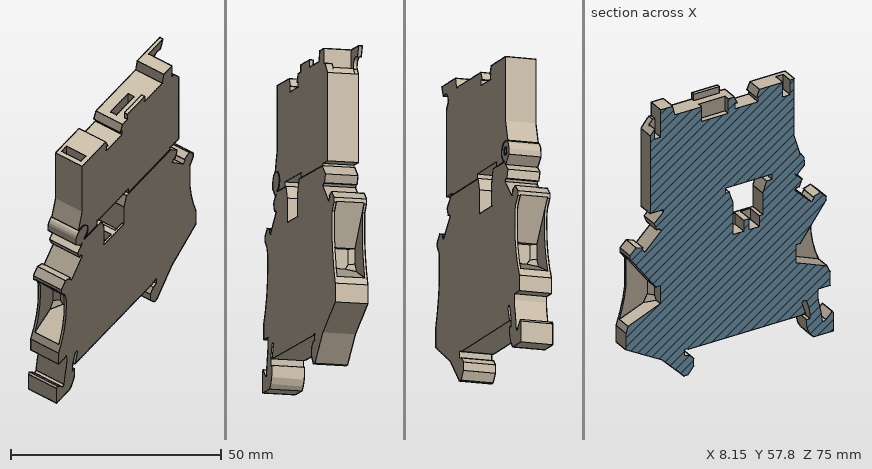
import cadquery as cq


base_width = 8.15
lever_width = 7.75
total_height = 74.98
base_half_length = 28.45
foot_tip_y = -29.35

rail_z = 6.95
base_top_z = 46.75
lever_bottom_z = 47.3
lever_top_z = 72.45

side_z = (12.0, 16.55)
latch_side_bottom_z = 12.75
waist_y = 26.0
waist_z = (27.0, 34.4)
bow_y = 27.0
bow_z = 21.4
latch_waist_y = 25.3
latch_waist_z = (29.1, 31.3)
latch_bow_y = 26.05
latch_bow_z = 22.9
shoulder_y = 18.0

window_y = (-9.6, -1.38)
window_floor_z = 37.85
window_throat_z = 43.7
window_flare = 1.05
floor_pockets_y = ((-8.6, -5.9), (-4.3, -1.38))
floor_pocket_width = 7.05
floor_pocket_depth = 3.0

funnel_width = 6.9
funnel_overshoot = 1.0
funnel_depth_y = 18.9
funnel_roof_z = (36.55, 26.7)
funnel_floor_z = (18.3, 21.9)
funnel_mouth_y = 27.35
funnel_floor_y = 27.9
corner_leg_x = 1.35
corner_leg_y = 1.2
corner_flare_x = 2.7
corner_flare_y = 2.4
corner_flare_z = (23.0, 20.9)

lever_back_y = 21.65
lever_front_y = -18.45
hook_plate_thickness = 0.95
hook_block_y = 18.8
hook_front_y = 15.4
hook_foot_y = 14.75
lever_back_top_z = 68.65
shelf_z = 71.3
lever_front_bottom_z = 56.65
relief_y = (-12.2, 0.7)
relief_top_z = 48.05

hinge_y = -18.75
hinge_z = 49.2
hinge_radius = 2.5
hinge_web_drop = 1.35
pin_radius = 0.95
pin_recess_depth = (base_width - lever_width) / 2

fuse_slot_x, fuse_slot_y = (-0.85, 0.9), (0.05, 7.35)
test_slot_x, test_slot_y = (-2.95, 2.65), (-17.2, -15.15)
back_slot_x, back_slot_y = (-2.95, 2.1), (hook_block_y, 20.45)
top_slot_depth = 4.0
back_slot_floor_z = 67.5
rib_x, rib_y = (2.95, lever_width / 2), (0.35, 7.5)
rib_top_z = 74.2


def across(sketch, width):
    """Extrude a closed YZ outline symmetrically along X."""
    return sketch.close().extrude(width / 2, both=True)


def box(x_range, y_range, z_range):
    """Axis-aligned box from its three (low, high) ranges."""
    size = [high - low for low, high in (x_range, y_range, z_range)]
    start = (x_range[0], y_range[0], z_range[0])
    return cq.Workplane("XY").box(*size, centered=False).translate(start)


def centred(width):
    return (-width / 2, width / 2)


def marker_groove(side):
    """Sloped top corner with its label groove, from the top down to the flank; side is +1 or -1."""
    outline = [
        (shoulder_y, base_top_z),
        (20.65, 44.3),
        (19.85, 42.3),
        (19.1, 42.3),
        (18.65, 41.75),
        (23.15, 37.3),
        (23.9, 38.2),
        (23.6, 38.5),
        (25.6, 39.2),
        (27.35, 37.5),
        (27.35, 36.3),
    ]
    return [(side * y, z) for y, z in outline]


def base_body():
    near, far = window_y
    sketch = cq.Workplane("YZ").polyline(marker_groove(1))
    sketch = (
        sketch.lineTo(waist_y, waist_z[1])
        .lineTo(waist_y, waist_z[0])
        .threePointArc((bow_y, bow_z), (base_half_length, side_z[1]))
        .lineTo(base_half_length, side_z[0])
        .lineTo(18.5, 6.3)
        .lineTo(12.3, 0)
        .lineTo(11.1, 0)
        .lineTo(9.5, 2.0)
        .lineTo(9.5, 4.05)
        .lineTo(10.8, 5.4)
        .lineTo(12.05, 5.65)
        .lineTo(12.05, 7.2)
        .lineTo(11.5, 7.2)
        .lineTo(11.0, rail_z)
        .lineTo(-21.7, rail_z)
        .lineTo(-20.65, 10.1)
        .threePointArc((-21.15, 10.75), (-21.75, 10.4))
        .threePointArc((-22.5, 8.0), (-22.75, 5.4))
        .lineTo(-21.8, 5.4)
        .lineTo(-21.8, 3.6)
        .threePointArc((-22.5, 1.6), (-23.8, 0))
        .lineTo(foot_tip_y, 0)
        .lineTo(foot_tip_y, 5.1)
        .lineTo(-28.95, 5.6)
        .lineTo(-27.15, 3.85)
        .threePointArc((-26.7, 3.55), (-26.25, 3.85))
        .threePointArc((-25.8, 6.8), (-25.2, 9.4))
        .threePointArc((-25.1, 10.3), (-25.05, 11.2))
        .lineTo(-25.15, latch_side_bottom_z)
        .lineTo(-base_half_length, latch_side_bottom_z)
        .lineTo(-base_half_length, side_z[1])
        .threePointArc((-latch_bow_y, latch_bow_z), (-latch_waist_y, latch_waist_z[0]))
        .lineTo(-latch_waist_y, latch_waist_z[1])
        .threePointArc((-25.4, 33.0), (-25.95, 34.6))
    )
    for point in reversed(marker_groove(-1)):
        sketch = sketch.lineTo(*point)
    sketch = (
        sketch.lineTo(near - window_flare, base_top_z)
        .lineTo(near, window_throat_z)
        .lineTo(near, window_floor_z)
        .lineTo(far, window_floor_z)
        .lineTo(far, window_throat_z)
        .lineTo(far + window_flare, base_top_z)
    )
    return across(sketch, base_width)


def corner_filler():
    """Filler of the +X back corner of the +Y funnel, flared at its lower end."""
    wall_x = funnel_width / 2

    def triangle(plane, leg_x, leg_y):
        corner = (wall_x, funnel_depth_y)
        along_back_wall = (wall_x - leg_x, funnel_depth_y)
        along_side_wall = (wall_x, funnel_depth_y + leg_y)
        return plane.polyline([corner, along_back_wall, along_side_wall]).close()

    flare_top, flare_bottom = corner_flare_z
    upright = triangle(cq.Workplane("XY").workplane(offset=flare_top), corner_leg_x, corner_leg_y)
    upright = upright.extrude(funnel_roof_z[0] - flare_top)
    flare = triangle(cq.Workplane("XY").workplane(offset=flare_top), corner_leg_x, corner_leg_y)
    flare = triangle(flare.workplane(offset=flare_bottom - flare_top), corner_flare_x, corner_flare_y)
    return upright.union(flare.loft(ruled=True))


def funnel():
    """Cutter for the wire funnel in the +Y flank."""
    outer_y = base_half_length + funnel_overshoot
    roof_inner_y = funnel_depth_y + corner_leg_y
    roof_slope = (funnel_roof_z[0] - funnel_roof_z[1]) / (funnel_mouth_y - roof_inner_y)
    floor_slope = (funnel_floor_z[1] - funnel_floor_z[0]) / (funnel_floor_y - funnel_depth_y)
    sketch = cq.Workplane("YZ").polyline([
        (funnel_depth_y, funnel_floor_z[1]),
        (funnel_depth_y, funnel_roof_z[1]),
        (roof_inner_y, funnel_roof_z[1]),
        (outer_y, funnel_roof_z[1] + roof_slope * (outer_y - roof_inner_y)),
        (outer_y, funnel_floor_z[1] - floor_slope * (outer_y - funnel_depth_y)),
    ])
    filler = corner_filler()
    return across(sketch, funnel_width).cut(filler).cut(filler.mirror("YZ"))


def lever_body():
    """Solid lever with its label notch, without the hook plate, slots and rib."""
    near, far = relief_y
    sketch = cq.Workplane("YZ").polyline([
        (hook_block_y, total_height),
        (hook_front_y, total_height),
        (hook_foot_y, lever_top_z),
        (-1.7, lever_top_z),
        (-2.65, 70.45),
        (-1.95, 70.45),
        (-1.95, 69.15),
        (-8.3, 69.15),
        (-8.3, 70.45),
        (-7.8, 70.45),
        (-8.7, lever_top_z),
        (lever_front_y, lever_top_z),
        (lever_front_y, lever_front_bottom_z),
        (-20.0, 51.6),
        (hinge_y, hinge_z),
        (-17.8, base_top_z),
        (near, base_top_z),
        (near, relief_top_z),
        (far, relief_top_z),
        (far, base_top_z),
        (shoulder_y, base_top_z),
        (shoulder_y, lever_bottom_z),
        (lever_back_y, lever_bottom_z),
        (lever_back_y, lever_back_top_z),
        (20.2, 70.5),
        (19.45, shelf_z),
        (hook_block_y, shelf_z),
    ])
    return across(sketch, lever_width)


def hook_plate():
    """Thin release hook on the -X side of the lever."""
    sketch = (
        cq.Workplane("YZ", origin=(-lever_width / 2, 0, 0))
        .moveTo(hook_front_y, total_height)
        .lineTo(24.8, total_height)
        .lineTo(23.75, 72.45)
        .lineTo(22.4, 72.7)
        .threePointArc((20.95, 71.9), (20.6, 70.0))
        .lineTo(lever_back_y, lever_back_top_z)
        .lineTo(hook_front_y, lever_back_top_z)
    )
    return sketch.close().extrude(hook_plate_thickness)


def hinge_eye():
    eye = cq.Workplane("YZ").center(hinge_y, hinge_z).circle(hinge_radius)
    eye = eye.extrude(base_width / 2, both=True)
    web = cq.Workplane("YZ").polyline([
        (hinge_y, hinge_z),
        (hinge_y - hinge_radius, hinge_z),
        (hinge_y - hinge_radius, hinge_z - hinge_web_drop),
        (-19.15, 45.8),
        (-17.75, base_top_z),
    ])
    return eye.union(across(web, base_width))


def pin_recess():
    """Shallow recess marking the hinge pin on the -X face."""
    disc = cq.Workplane("YZ", origin=(-base_width / 2, hinge_y, hinge_z)).circle(pin_radius)
    return disc.extrude(pin_recess_depth)


def base_housing():
    body = base_body()
    cutter = funnel()
    pocket_z = (window_floor_z - floor_pocket_depth, window_floor_z)
    body = body.cut(cutter).cut(cutter.mirror("XZ"))
    for pocket_y in floor_pockets_y:
        body = body.cut(box(centred(floor_pocket_width), pocket_y, pocket_z))
    return body


def lever():
    slot_z = (lever_top_z - top_slot_depth, lever_top_z)
    body = lever_body().cut(box(back_slot_x, back_slot_y, (back_slot_floor_z, shelf_z)))
    body = body.union(hook_plate())
    body = body.cut(box(fuse_slot_x, fuse_slot_y, slot_z))
    body = body.cut(box(test_slot_x, test_slot_y, slot_z))
    return body.union(box(rib_x, rib_y, (lever_top_z, rib_top_z)))


result = base_housing().union(lever()).union(hinge_eye()).cut(pin_recess())